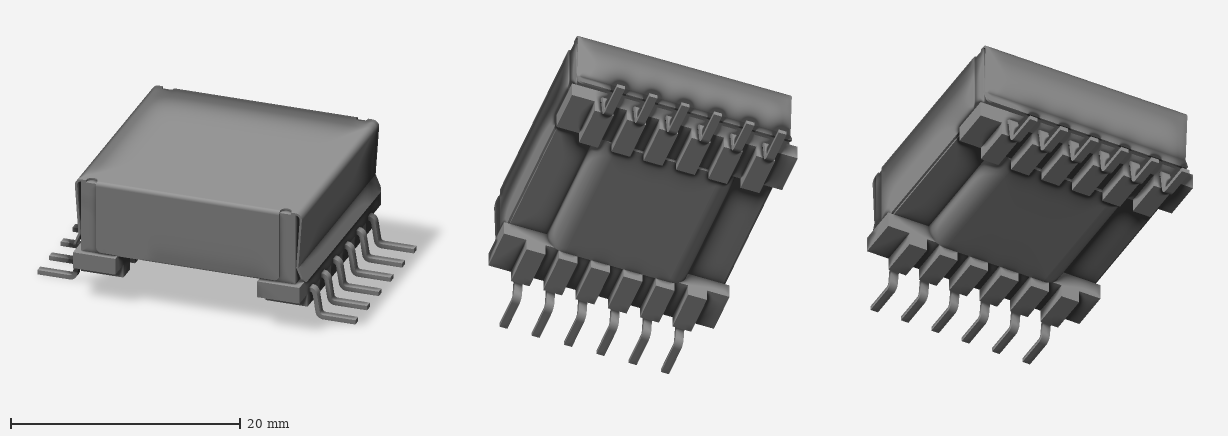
import cadquery as cq
import math


TOTAL_LENGTH = 29.5
TOTAL_WIDTH = 21.0
TOTAL_HEIGHT = 10.95

RAIL_OUTER_X = 10.5
RAIL_INNER_X = 6.58
RAIL_TOP = 4.05
RAIL_BOTTOM = 2.5
BLOCK_BOTTOM = 1.27
BLOCK_WIDTH = 1.75
WINDING_BOTTOM = 2.2
WINDING_WIDTH = 12.98
WINDING_RADIUS = 1.65

PINS_PER_SIDE = 6
PIN_PITCH = 3.0
PIN_WIDTH = 0.75
PIN_THICKNESS = 0.4
PIN_BEND_RADIUS = 0.5
PIN_LEAN = 9.0

SHEET = 0.2
WING_BEND_RADIUS = 0.6
WING_KNEE_INSET = 0.32
WING_KNEE_Z = 5.65
WING_FLARE = 0.62
CLIP_BOTTOM = 4.22
CLIP_CORNER_RADIUS = 0.5
PANEL_LENGTH = 17.0
PANEL_BEND_RADIUS = 0.35
NOTCH_RADIUS = 0.5

CORE_LENGTH = 19.88
CORE_WIDTH = 19.88
CORE_TOP = TOTAL_HEIGHT - SHEET


def box_between(x_range, y_range, z_range):
    """Box that fills the given ranges along X, Y and Z."""
    sizes = [high - low for low, high in (x_range, y_range, z_range)]
    corner = (x_range[0], y_range[0], z_range[0])
    return cq.Workplane("XY").box(*sizes, centered=False).translate(corner)


def make_core_half():
    """Half of the core on the +X side of the joint at X = 0."""
    half_width = CORE_WIDTH / 2
    return box_between((0, CORE_LENGTH / 2), (-half_width, half_width), (RAIL_TOP, CORE_TOP))


def make_pin():
    """Gull-wing pin at Y = 0 on the +X side, starting at the outer face of the rail."""
    lean = math.radians(PIN_LEAN)
    root_z = RAIL_BOTTOM + PIN_THICKNESS / 2
    foot_z = PIN_THICKNESS / 2
    bend_x = PIN_BEND_RADIUS * math.cos(lean)
    bend_z = PIN_BEND_RADIUS * (1 - math.sin(lean))
    leg_top = (RAIL_OUTER_X + bend_x, root_z - bend_z)
    leg_drop = root_z - foot_z - 2 * bend_z
    leg_bottom = (leg_top[0] + leg_drop * math.tan(lean), foot_z + bend_z)
    path = (
        cq.Workplane("XZ")
        .moveTo(RAIL_OUTER_X, root_z)
        .radiusArc(leg_top, PIN_BEND_RADIUS)
        .lineTo(*leg_bottom)
        .radiusArc((leg_bottom[0] + bend_x, foot_z), -PIN_BEND_RADIUS)
        .lineTo(TOTAL_LENGTH / 2, foot_z)
    )
    section = cq.Workplane("YZ", origin=(RAIL_OUTER_X, 0, root_z)).rect(PIN_WIDTH, PIN_THICKNESS)
    return section.sweep(path)


def make_terminal_side():
    """Rail on the +X side with its pin blocks and pins."""
    rail_x = (RAIL_INNER_X, RAIL_OUTER_X)
    side = box_between(rail_x, (-TOTAL_WIDTH / 2, TOTAL_WIDTH / 2), (RAIL_BOTTOM, RAIL_TOP))
    block = box_between(rail_x, (-BLOCK_WIDTH / 2, BLOCK_WIDTH / 2), (BLOCK_BOTTOM, RAIL_BOTTOM))
    pin = make_pin()
    for index in range(PINS_PER_SIDE):
        y = (index - (PINS_PER_SIDE - 1) / 2) * PIN_PITCH
        side = side.union(block.translate((0, y, 0))).union(pin.translate((0, y, 0)))
    return side


def make_winding():
    """Winding between the rails, with both lower edges rounded."""
    half_width = WINDING_WIDTH / 2
    winding = box_between(
        (-RAIL_INNER_X, RAIL_INNER_X), (-half_width, half_width), (WINDING_BOTTOM, RAIL_TOP)
    )
    return winding.edges("|X and <Z").fillet(WINDING_RADIUS)


def make_bobbin():
    """Winding joined to a terminal side at each end."""
    side = make_terminal_side()
    return make_winding().union(side).union(side.mirror("YZ"))


def make_top_plate():
    """Flat top of the clip, with a notch beside each end of the panels."""
    panel_bend_y = CORE_WIDTH / 2 + SHEET - PANEL_BEND_RADIUS
    wing_bend_x = CORE_LENGTH / 2
    edge_y = CORE_WIDTH / 2
    notch_x = PANEL_LENGTH / 2 + NOTCH_RADIUS
    plate = box_between((-wing_bend_x, wing_bend_x), (-edge_y, edge_y), (CORE_TOP, TOTAL_HEIGHT))
    notch = (
        cq.Workplane("XY", origin=(0, 0, CORE_TOP))
        .moveTo(notch_x - NOTCH_RADIUS, edge_y)
        .lineTo(notch_x - NOTCH_RADIUS, panel_bend_y)
        .threePointArc((notch_x, panel_bend_y - NOTCH_RADIUS), (notch_x + NOTCH_RADIUS, panel_bend_y))
        .lineTo(notch_x + NOTCH_RADIUS, edge_y)
        .close()
        .extrude(SHEET)
    )
    panel_gap = box_between(
        (-PANEL_LENGTH / 2, PANEL_LENGTH / 2), (panel_bend_y, edge_y), (CORE_TOP, TOTAL_HEIGHT)
    )
    opening = panel_gap.union(notch).union(notch.mirror("YZ"))
    return plate.cut(opening).cut(opening.mirror("XZ"))


def make_wing():
    """Springy wing on the +X side: bend, inward lean to the knee, then an outward flare."""
    bend_x = CORE_LENGTH / 2
    bend_z = TOTAL_HEIGHT - WING_BEND_RADIUS
    outer_x = bend_x + WING_BEND_RADIUS
    knee_x = outer_x - WING_KNEE_INSET
    tip_x = knee_x + WING_FLARE
    wing = (
        cq.Workplane("XZ")
        .moveTo(bend_x, TOTAL_HEIGHT)
        .radiusArc((outer_x, bend_z), WING_BEND_RADIUS)
        .lineTo(knee_x, WING_KNEE_Z)
        .lineTo(tip_x, CLIP_BOTTOM)
        .lineTo(tip_x - SHEET, CLIP_BOTTOM)
        .lineTo(knee_x - SHEET, WING_KNEE_Z)
        .lineTo(outer_x - SHEET, bend_z)
        .radiusArc((bend_x, CORE_TOP), SHEET - WING_BEND_RADIUS)
        .close()
        .extrude(CORE_WIDTH / 2, both=True)
    )
    return wing.intersect(rounded_sheet_blank("YZ", CORE_WIDTH))


def make_panel():
    """Flat panel on the +Y side, bent down from the top plate and square inside, along the core."""
    outer_y = CORE_WIDTH / 2 + SHEET
    bend_y = outer_y - PANEL_BEND_RADIUS
    bend_z = TOTAL_HEIGHT - PANEL_BEND_RADIUS
    panel = (
        cq.Workplane("YZ")
        .moveTo(bend_y, TOTAL_HEIGHT)
        .radiusArc((outer_y, bend_z), PANEL_BEND_RADIUS)
        .lineTo(outer_y, CLIP_BOTTOM)
        .lineTo(outer_y - SHEET, CLIP_BOTTOM)
        .lineTo(outer_y - SHEET, CORE_TOP)
        .lineTo(bend_y, CORE_TOP)
        .close()
        .extrude(PANEL_LENGTH / 2, both=True)
    )
    return panel.intersect(rounded_sheet_blank("XZ", PANEL_LENGTH))


def rounded_sheet_blank(plane, width):
    """Long prism as wide as a wing or panel, with rounded lower corners, to trim it with."""
    half_width = width / 2
    radius = CLIP_CORNER_RADIUS
    return (
        cq.Workplane(plane)
        .moveTo(-half_width, TOTAL_HEIGHT)
        .lineTo(-half_width, CLIP_BOTTOM + radius)
        .radiusArc((radius - half_width, CLIP_BOTTOM), -radius)
        .lineTo(half_width - radius, CLIP_BOTTOM)
        .radiusArc((half_width, CLIP_BOTTOM + radius), -radius)
        .lineTo(half_width, TOTAL_HEIGHT)
        .close()
        .extrude(TOTAL_LENGTH / 2, both=True)
    )


def make_clip():
    """Clip with a wing at each X end and a panel at each Y end."""
    wing = make_wing()
    panel = make_panel()
    clip = make_top_plate().union(wing).union(wing.mirror("YZ"))
    return clip.union(panel).union(panel.mirror("XZ"))


core_half = make_core_half()
core_halves = [core_half, core_half.mirror("YZ")]
bobbin = make_bobbin()
clip = make_clip()

result = cq.Compound.makeCompound([*[half.val() for half in core_halves], bobbin.val(), clip.val()])